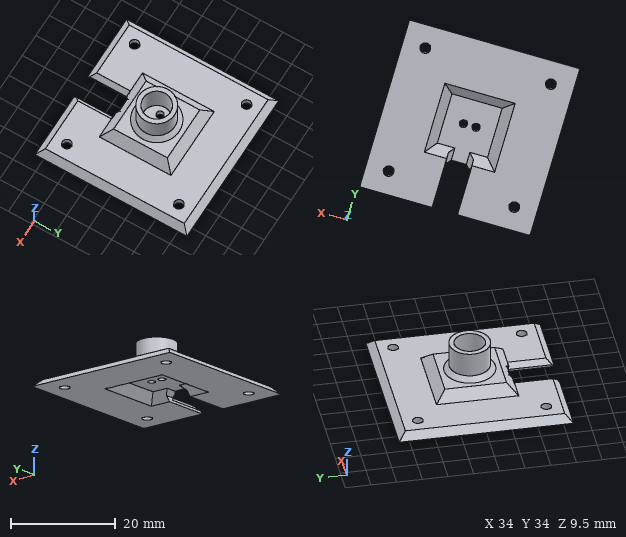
import cadquery as cq

plate_size = 34.0
plate_height = 1.5

block_size = 16.0
block_height = 2.0

tube_diameter = 8.0
tube_bore = 6.0
foot_diameter = 10.0
foot_height = (foot_diameter - tube_diameter) / 2
total_height = 9.5

mount_hole_diameter = 2.0
mount_hole_spacing = 25.0

wire_hole_diameter = 1.5
wire_hole_spacing = 2.5

slot_width = 5.0
slot_chamfer = 1.0
channel_height = 2.0
channel_taper = 1.0

hollow_size = 14.0
hollow_height = channel_height

block_top = plate_height + block_height


def sloped_slab(size, height, base_z):
    """Square slab with 45 degree sides, measured at its bottom face."""
    top_size = size - 2 * height
    return (
        cq.Workplane("XY", origin=(0, 0, base_z))
        .rect(size, size)
        .workplane(offset=height)
        .rect(top_size, top_size)
        .loft(ruled=True)
    )


def socket_tube():
    """Tube wall and conical foot, revolved about Z; the bore is cut later."""
    tube_radius = tube_diameter / 2
    return (
        cq.Workplane("XZ")
        .moveTo(0, block_top)
        .lineTo(foot_diameter / 2, block_top)
        .lineTo(tube_radius, block_top + foot_height)
        .lineTo(tube_radius, total_height)
        .lineTo(0, total_height)
        .close()
        .revolve(360, (0, 0, 0), (0, 1, 0))
    )


def prism_along_y(half_profile, start_y, end_y):
    """Extrude a left-right symmetric XZ profile between two Y positions."""
    mirrored = [(-x, z) for x, z in reversed(half_profile)]
    return (
        cq.Workplane("XZ", origin=(0, end_y, 0))
        .polyline(half_profile + mirrored)
        .close()
        .extrude(end_y - start_y)
    )


def slot_chamfer_cut():
    """Slot with chamfered top edges, open at the front, ending at the block."""
    half_width = slot_width / 2
    profile = [
        (half_width, 0),
        (half_width, plate_height - slot_chamfer),
        (half_width + slot_chamfer, plate_height),
    ]
    return prism_along_y(profile, -plate_size / 2, -block_size / 2)


def channel_cut():
    """Tapered channel from the front edge into the hollow."""
    half_width = slot_width / 2
    profile = [
        (half_width, 0),
        (half_width, channel_height - channel_taper),
        (half_width - channel_taper, channel_height),
    ]
    return prism_along_y(profile, -plate_size / 2, 0)


body = (
    sloped_slab(plate_size, plate_height, 0)
    .union(sloped_slab(block_size, block_height, plate_height))
    .union(socket_tube())
)

bore = (
    cq.Workplane("XY", origin=(0, 0, block_top))
    .circle(tube_bore / 2)
    .extrude(total_height - block_top)
)
mount_holes = (
    cq.Workplane("XY")
    .rect(mount_hole_spacing, mount_hole_spacing, forConstruction=True)
    .vertices()
    .circle(mount_hole_diameter / 2)
    .extrude(plate_height)
)
wire_holes = (
    cq.Workplane("XY")
    .pushPoints([(-wire_hole_spacing / 2, 0), (wire_hole_spacing / 2, 0)])
    .circle(wire_hole_diameter / 2)
    .extrude(block_top)
)

result = (
    body.cut(bore)
    .cut(mount_holes)
    .cut(wire_holes)
    .cut(slot_chamfer_cut())
    .cut(channel_cut())
    .cut(sloped_slab(hollow_size, hollow_height, 0))
)